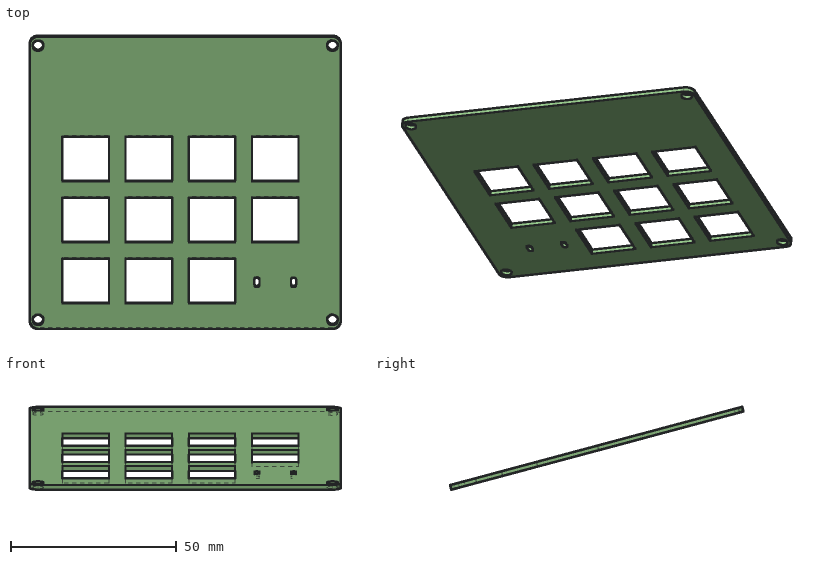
import cadquery as cq

plate_width = 94.0
plate_length = 91.4
plate_thickness = 1.5
corner_radius = 2.5
tilt_angle = 15.0

screw_hole_diameter = 3.2
screw_side_inset = 2.5
screw_end_inset = 2.8

key_size = 14.0
key_pitch = 19.1
key_columns = 4
key_rows = 3
first_key_x = -30.1
front_row_y = -30.7

slot_width = 1.5
slot_length = 3.0
slot_spacing = 11.1
slot_center_x = first_key_x + (key_columns - 1) * key_pitch
slot_center_y = -31.1


def make_plate():
    """Rounded plate centred on the origin, lying flat."""
    plate = cq.Workplane("XY").box(plate_width, plate_length, plate_thickness)
    return plate.edges("|Z").fillet(corner_radius)


def cut_screw_holes(plate):
    spacing_x = plate_width - 2 * screw_side_inset
    spacing_y = plate_length - 2 * screw_end_inset
    return (
        plate.faces(">Z")
        .workplane(origin=(0, 0, 0))
        .rect(spacing_x, spacing_y, forConstruction=True)
        .vertices()
        .hole(screw_hole_diameter)
    )


def cut_key_openings(plate):
    free_position = (0, key_columns - 1)
    centers = [
        (first_key_x + column * key_pitch, front_row_y + row * key_pitch)
        for row in range(key_rows)
        for column in range(key_columns)
        if (row, column) != free_position
    ]
    return (
        plate.faces(">Z")
        .workplane(origin=(0, 0, 0))
        .pushPoints(centers)
        .rect(key_size, key_size)
        .cutThruAll()
    )


def cut_slots(plate):
    centers = [(slot_center_x + side * slot_spacing / 2, slot_center_y) for side in (-1, 1)]
    return (
        plate.faces(">Z")
        .workplane(origin=(0, 0, 0))
        .pushPoints(centers)
        .slot2D(slot_length, slot_width, 90)
        .cutThruAll()
    )


flat_plate = cut_slots(cut_key_openings(cut_screw_holes(make_plate())))

result = flat_plate.rotate((0, 0, 0), (1, 0, 0), tilt_angle)